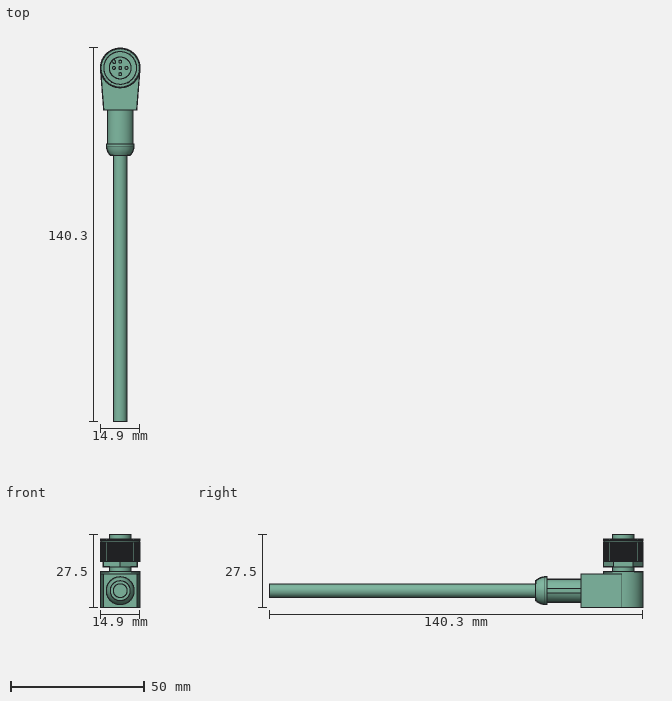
import cadquery as cq
import math

OVERLAP = 1.0

HEAD_RADIUS = 7.45
BODY_HEIGHT = 12.65
HEAD_HEIGHT = 13.5
FACE_Y = -15.85
TAPER_ANGLE = 4.5
OUTLET_Z = BODY_HEIGHT / 2

SLEEVE_WIDTH = 9.7
SLEEVE_HEIGHT = 8.7
SLEEVE_FLAT = 1.8
SLEEVE_LENGTH = 12.7
COLLAR_RADIUS = 5.25
COLLAR_END_RADIUS = 3.75
COLLAR_STRAIGHT = 0.95
COLLAR_DOME = 3.35
COLLAR_BULGE = 0.3

CABLE_DIAMETER = 5.2
CABLE_LENGTH = 100.0

INSERT_RADIUS = 4.1
INSERT_TOP = 27.5
CONTACT_DIAMETER = 1.1
CONTACT_CIRCLE_RADIUS = 2.35
OUTER_CONTACTS = 4
CONTACT_DEPTH = 6.0
KEY_WIDTH = 1.1
KEY_CENTER = 3.2
KEY_ANGLE = 135.0
KEY_DEPTH = 6.0

NUT_BOTTOM = 15.25
HEX_TOP = 17.25
KNURL_TOP = 24.7
RIM_BOTTOM = 25.2
NUT_TOP = 25.75
NUT_RADIUS = 7.45
HEX_SIDES = 6
HEX_FLATS = 2 * NUT_RADIUS * math.cos(math.pi / HEX_SIDES)
NUT_GROOVE_RADIUS = 7.3
NUT_BORE_RADIUS = 6.15
KNURL_TEETH = 72
KNURL_DEPTH = 0.3


def cylinder(radius, bottom, top):
    """Upright cylinder on the connector axis."""
    return cq.Workplane("XY").workplane(offset=bottom).circle(radius).extrude(top - bottom)


def make_sleeve():
    """Barrel with curved top and bottom and a narrow flat on each side."""
    half_width = SLEEVE_WIDTH / 2
    half_height = SLEEVE_HEIGHT / 2
    half_flat = SLEEVE_FLAT / 2
    return (
        cq.Workplane("XZ", origin=(0, FACE_Y + OVERLAP, OUTLET_Z))
        .moveTo(-half_width, -half_flat)
        .lineTo(-half_width, half_flat)
        .threePointArc((0, half_height), (half_width, half_flat))
        .lineTo(half_width, -half_flat)
        .threePointArc((0, -half_height), (-half_width, -half_flat))
        .close()
        .extrude(SLEEVE_LENGTH + OVERLAP)
    )


def make_collar():
    """Short ring that rounds down towards the cable, turned about the cable axis."""
    start = FACE_Y - SLEEVE_LENGTH
    shoulder = start - COLLAR_STRAIGHT
    end = shoulder - COLLAR_DOME
    return (
        cq.Workplane("XY", origin=(0, 0, OUTLET_Z))
        .moveTo(0, start)
        .lineTo(COLLAR_RADIUS, start)
        .lineTo(COLLAR_RADIUS, shoulder)
        .sagittaArc((COLLAR_END_RADIUS, end), COLLAR_BULGE)
        .lineTo(0, end)
        .close()
        .revolve(360, (0, 0, 0), (0, 1, 0))
    )


def make_housing():
    """Tapered elbow with a round shoulder, sleeve and collar."""
    taper = math.radians(TAPER_ANGLE)
    tangent_x = HEAD_RADIUS * math.cos(taper)
    tangent_y = -HEAD_RADIUS * math.sin(taper)
    face_x = tangent_x - (tangent_y - FACE_Y) * math.tan(taper)
    body = (
        cq.Workplane("XY")
        .moveTo(-face_x, FACE_Y)
        .lineTo(face_x, FACE_Y)
        .lineTo(tangent_x, tangent_y)
        .threePointArc((0, HEAD_RADIUS), (-tangent_x, tangent_y))
        .close()
        .extrude(BODY_HEIGHT)
    )
    shoulder = cylinder(HEAD_RADIUS, 0, HEAD_HEIGHT)
    return body.union(shoulder).union(make_sleeve()).union(make_collar())


def make_cable():
    """Plain round cable that starts at the collar end."""
    start = FACE_Y - SLEEVE_LENGTH - COLLAR_STRAIGHT - COLLAR_DOME
    return (
        cq.Workplane("XZ", origin=(0, start, OUTLET_Z))
        .circle(CABLE_DIAMETER / 2)
        .extrude(CABLE_LENGTH)
    )


def make_insert():
    """Contact carrier with five contact holes and a keyway in the rim."""
    insert = cylinder(INSERT_RADIUS, HEAD_HEIGHT, INSERT_TOP)
    contacts = (
        cq.Workplane("XY", origin=(0, 0, INSERT_TOP))
        .polarArray(CONTACT_CIRCLE_RADIUS, 0, 360, OUTER_CONTACTS)
        .circle(CONTACT_DIAMETER / 2)
        .extrude(-CONTACT_DEPTH)
    )
    center_contact = cylinder(CONTACT_DIAMETER / 2, INSERT_TOP - CONTACT_DEPTH, INSERT_TOP)
    key_end = INSERT_RADIUS + KEY_WIDTH
    keyway = (
        cq.Workplane("XY", origin=((KEY_CENTER + key_end) / 2, 0, INSERT_TOP))
        .slot2D(key_end - KEY_CENTER + KEY_WIDTH, KEY_WIDTH)
        .extrude(-KEY_DEPTH)
        .rotate((0, 0, 0), (0, 0, 1), KEY_ANGLE)
    )
    return insert.cut(contacts).cut(center_contact).cut(keyway)


def make_knurl(bottom, top):
    """Straight knurl: a ring of equal pointed teeth."""
    outline = []
    for step in range(2 * KNURL_TEETH):
        angle = math.pi * step / KNURL_TEETH
        radius = NUT_RADIUS - KNURL_DEPTH * (step % 2)
        outline.append((radius * math.cos(angle), radius * math.sin(angle)))
    base = cq.Workplane("XY", origin=(0, 0, bottom))
    return base.polyline(outline).close().extrude(top - bottom)


def make_nut():
    """Coupling nut: hexagon, knurl, groove and knurled top rim around an open bore."""
    hexagon = (
        cq.Workplane("XY", origin=(0, 0, NUT_BOTTOM))
        .polygon(HEX_SIDES, HEX_FLATS, circumscribed=True)
        .extrude(HEX_TOP - NUT_BOTTOM)
    )
    groove = cylinder(NUT_GROOVE_RADIUS, KNURL_TOP, RIM_BOTTOM)
    grip = make_knurl(HEX_TOP, KNURL_TOP)
    rim = make_knurl(RIM_BOTTOM, NUT_TOP)
    bore = cylinder(NUT_BORE_RADIUS, HEX_TOP, NUT_TOP)
    insert_hole = cylinder(INSERT_RADIUS, NUT_BOTTOM, HEX_TOP)
    outside = hexagon.union(grip).union(groove).union(rim)
    return outside.cut(bore).cut(insert_hole)


housing = make_housing()
cable = make_cable()
insert = make_insert()
nut = make_nut()

bodies = [body.solids().val() for body in (housing, cable, insert, nut)]
result = cq.Compound.makeCompound(bodies)